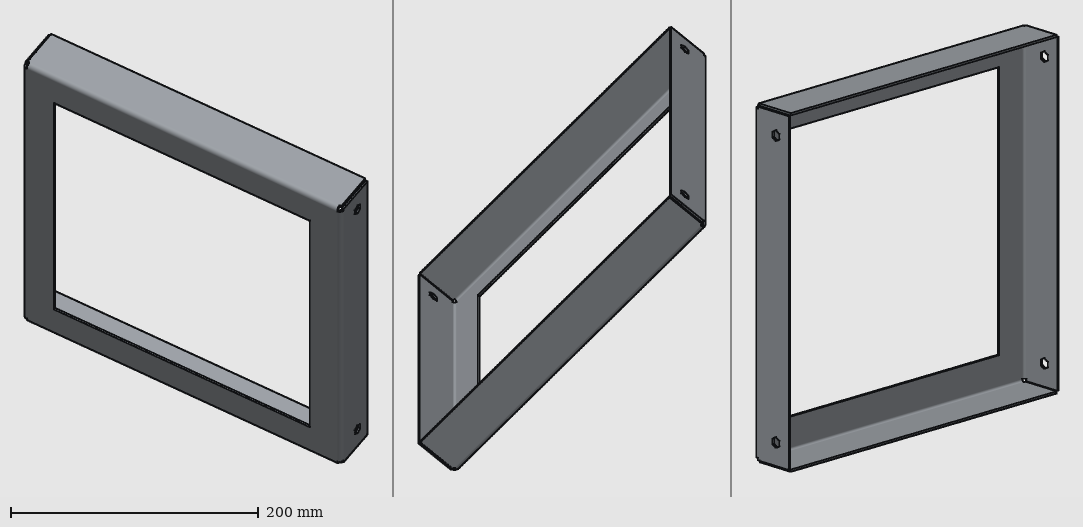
import cadquery as cq
import math

side = 304.0
depth = 40.0
sheet = 2.0
inner_bend_radius = 2.0
opening = 244.0
corner_gap = 0.2
hole_across_flats = 8.0
hexagon_sides = 6
hole_spacing = 260.0
hole_from_back = 15.0

half = side / 2
outer_bend_radius = inner_bend_radius + sheet
front_y = -depth / 2
back_y = depth / 2
bend_end_y = front_y + outer_bend_radius
panel_side = side - 2 * outer_bend_radius
flange_length = side - 2 * (sheet + corner_gap)


def make_panel():
    """Flat front panel with its square window."""
    return (
        cq.Workplane("XZ", origin=(0, front_y + sheet, 0))
        .rect(panel_side, panel_side)
        .rect(opening, opening)
        .extrude(sheet)
    )


def make_bend():
    """Quarter-round bend along the left edge, ending level with the flat panel."""
    centre = (-half + outer_bend_radius, bend_end_y)
    ring = (
        cq.Workplane("XY", origin=(0, 0, -panel_side / 2))
        .center(*centre)
        .circle(outer_bend_radius)
        .circle(inner_bend_radius)
        .extrude(panel_side)
    )
    quadrant = (
        cq.Workplane("XY", origin=(0, 0, -panel_side / 2))
        .center(*centre)
        .rect(-outer_bend_radius, -outer_bend_radius, centered=False)
        .extrude(panel_side)
    )
    return ring.intersect(quadrant)


def make_flange():
    """Flat left flange behind its bend."""
    return cq.Workplane("XY").box(
        sheet, back_y - bend_end_y, flange_length, centered=(False, False, True)
    ).translate((-half, bend_end_y, 0))


def make_hole_cutters():
    """Hexagonal prisms along X that pierce both side flanges, corners up and down."""
    across_corners = hole_across_flats / math.cos(math.pi / hexagon_sides)
    hole_y = back_y - hole_from_back
    return (
        cq.Workplane("YZ", origin=(-half, 0, 0))
        .transformed(rotate=(0, 0, 90))
        .pushPoints([(-hole_spacing / 2, -hole_y), (hole_spacing / 2, -hole_y)])
        .polygon(hexagon_sides, across_corners)
        .extrude(side)
    )


folded_side = make_bend().union(make_flange())
result = make_panel()
for angle in (0, 90, 180, 270):
    result = result.union(folded_side.rotate((0, 0, 0), (0, 1, 0), angle))
result = result.cut(make_hole_cutters())